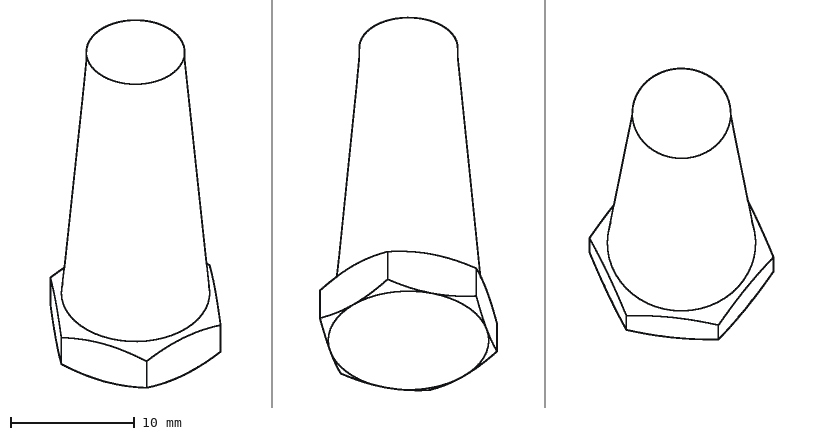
import cadquery as cq
import math

total_height = 30.0
corner_diameter = 15.0
head_height = 4.3
tip_height = 1.0
tip_radius = 4.0
shank_base_radius = 6.0
chamfer_angle = 30.0

corner_radius = corner_diameter / 2
flat_radius = corner_radius * math.cos(math.pi / 6)
chamfer_slope = math.tan(math.radians(chamfer_angle))
top_drop = (corner_radius - shank_base_radius) * chamfer_slope
bottom_rise = (corner_radius - flat_radius) * chamfer_slope


def revolved(profile):
    """Revolve a closed (radius, height) profile about the Z axis."""
    return cq.Workplane("XZ").polyline(profile).close().revolve(360, (0, 0), (0, 1))


def hex_head():
    """Hexagon with corners on Y, its corners chamfered above and below."""
    prism = (
        cq.Workplane("XY")
        .polygon(6, corner_diameter)
        .extrude(head_height)
        .rotate((0, 0, 0), (0, 0, 1), 90)
    )
    chamfer_envelope = revolved([
        (0, 0),
        (flat_radius, 0),
        (corner_radius, bottom_rise),
        (corner_radius, head_height - top_drop),
        (shank_base_radius, head_height),
        (0, head_height),
    ])
    return prism.intersect(chamfer_envelope)


def tapered_shank():
    """Cone rising from the head and ending in a short cylinder."""
    return revolved([
        (0, head_height),
        (shank_base_radius, head_height),
        (tip_radius, total_height - tip_height),
        (tip_radius, total_height),
        (0, total_height),
    ])


result = hex_head().union(tapered_shank())